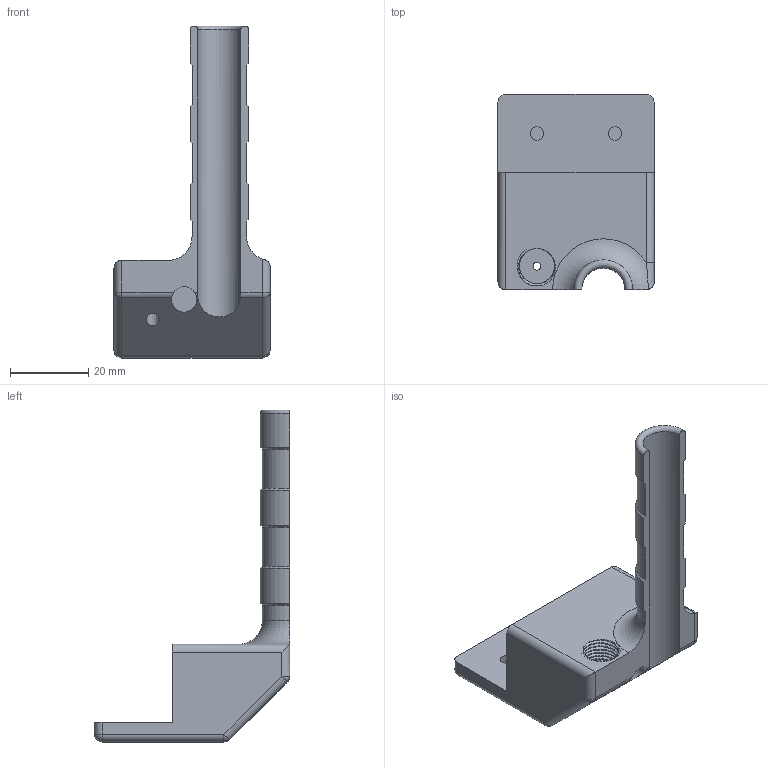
import cadquery as cq
import math

width = 40.0
length = 50.0
block_depth = 30.0
block_height = 25.0
ledge_thickness = 5.0
slope_leg = 16.0
edge_radius = 2.0

total_height = 85.0
tube_x = 7.0
tube_outer_radius = 7.5
bore_radius = 5.5
groove_depth = 0.5
groove_radius = tube_outer_radius - groove_depth
flare_radius = 6.0
collar_length = 10.0
collar_pitch = 20.0
collar_count = 3
collar_starts = [total_height - collar_length - i * collar_pitch for i in reversed(range(collar_count))]
rim_radius = (tube_outer_radius - bore_radius) / 2
wall_top = total_height - rim_radius

tolerance = 0.01

socket_x = -10.0
socket_y = 6.0
socket_depth = 8.0
thread_minor_radius = 9.04 / 2
thread_major_radius = 10.15 / 2
thread_pitch = 1.0
thread_root_flat = thread_pitch / 8
thread_half_angle = 30.0
thread_overlap = 0.1
thread_start_angle = 85.0
passage_diameter = 2.0
outlet_diameter = 3.6
outlet_z = 8.0

pocket_diameter = 6.5
pocket_x = -2.0
pocket_z = 15.0
pocket_depth = 10.0
ledge_hole_diameter = 3.5
ledge_hole_x = 10.0
ledge_hole_y = 40.0
ledge_hole_depth = 3.0


def vertical_cylinder(x, y, bottom, top, radius):
    return cq.Workplane("XY", origin=(x, y, bottom)).circle(radius).extrude(top - bottom)


def make_block(height):
    """Side outline of block, ledge and slope, extruded across the width."""
    outline = [
        (0, slope_leg),
        (slope_leg, 0),
        (length, 0),
        (length, ledge_thickness),
        (block_depth, ledge_thickness),
        (block_depth, height),
        (0, height),
    ]
    return cq.Workplane("YZ").polyline(outline).close().extrude(width / 2, both=True)


def make_half_tube():
    """Grooved outer tube wall with its flared foot, revolved half a turn behind Y = 0."""
    flare_top = block_height + flare_radius
    flare_foot = groove_radius + flare_radius
    arc_offset = flare_radius * math.sqrt(0.5)
    profile = (
        cq.Workplane("XZ", origin=(tube_x, 0, 0))
        .moveTo(0, block_height - edge_radius)
        .lineTo(flare_foot, block_height - edge_radius)
        .lineTo(flare_foot, block_height)
        .threePointArc((flare_foot - arc_offset, flare_top - arc_offset), (groove_radius, flare_top))
    )
    for start in collar_starts:
        profile = profile.lineTo(groove_radius, start)
        profile = profile.lineTo(tube_outer_radius, start + groove_depth)
        if start + collar_length < total_height:
            profile = profile.lineTo(tube_outer_radius, start + collar_length - groove_depth)
            profile = profile.lineTo(groove_radius, start + collar_length)
    profile = profile.lineTo(tube_outer_radius, wall_top).lineTo(0, wall_top).close()
    return profile.revolve(-180, (0, 0, 0), (0, 1, 0))


def is_upper_side_edge(edge):
    """Edges where the block top meets its two sides."""
    center = edge.Center()
    return abs(abs(center.x) - width / 2) < tolerance and abs(center.z - block_height) < tolerance


def is_envelope_edge(edge):
    """Rounded edges of the front corners, slope, underside and back."""
    center = edge.Center()
    box = edge.BoundingBox()
    if box.zmax < tolerance:
        return True
    if abs(center.y) < tolerance and abs(center.z - slope_leg) < tolerance:
        return True
    on_side = abs(abs(center.x) - width / 2) < tolerance and box.xlen < tolerance
    on_slope = abs(center.y + center.z - slope_leg) < tolerance
    on_front = box.ymax < tolerance and box.zmin > slope_leg - tolerance
    on_back = box.ymin > length - tolerance
    return on_side and (on_slope or on_front or on_back)


def fillet_selected(body, selects, radius):
    return body.newObject([edge for edge in body.edges().vals() if selects(edge)]).fillet(radius)


def make_rounded_body():
    """Block and tube with upper side edges rounded, trimmed by a tall block with the other edges rounded."""
    solid = make_block(block_height).union(make_half_tube())
    solid = fillet_selected(solid, is_upper_side_edge, edge_radius)
    envelope = fillet_selected(make_block(total_height), is_envelope_edge, edge_radius)
    return solid.intersect(envelope)


def make_thread_cutter():
    """Helical ridge that cuts the thread groove from the socket wall, running out above the block."""
    start_z = block_height - socket_depth + thread_pitch / 2
    height = socket_depth + thread_pitch / 2
    inner_radius = thread_minor_radius - thread_overlap
    flank_rise = (thread_major_radius - inner_radius) * math.tan(math.radians(thread_half_angle))
    half_root = thread_root_flat / 2
    half_mouth = half_root + flank_rise
    helix = cq.Wire.makeHelix(thread_pitch, height, thread_minor_radius)
    section = [
        (inner_radius, -half_mouth),
        (thread_major_radius, -half_root),
        (thread_major_radius, half_root),
        (inner_radius, half_mouth),
    ]
    cutter = cq.Workplane("XZ").polyline(section).close().sweep(cq.Workplane(helix), isFrenet=True)
    cutter = cutter.rotate((0, 0, 0), (0, 0, 1), thread_start_angle)
    return cutter.translate((socket_x, socket_y, start_z))


def cut_threaded_socket(body):
    """Threaded blind socket, and a passage under it that widens down to its outlet in the slope."""
    socket_floor = block_height - socket_depth
    socket_top = block_height + 2 * thread_pitch
    socket = vertical_cylinder(socket_x, socket_y, socket_floor, socket_top, thread_minor_radius)
    socket = socket.union(make_thread_cutter())
    passage_profile = [
        (0, outlet_z),
        (outlet_diameter / 2, outlet_z),
        (passage_diameter / 2, socket_floor),
        (0, socket_floor),
    ]
    plane = cq.Workplane("XZ", origin=(socket_x, socket_y, 0))
    passage = plane.polyline(passage_profile).close().revolve(360, (0, 0, 0), (0, 1, 0))
    return body.cut(socket).cut(passage)


def cut_pocket(body):
    """Flat-bottomed round pocket entering the slope parallel to Y."""
    front_plane = cq.Workplane("XZ", origin=(pocket_x, 0, pocket_z))
    pocket = front_plane.circle(pocket_diameter / 2).extrude(-pocket_depth)
    return body.cut(pocket)


def cut_ledge_holes(body):
    """Two blind holes in the top of the ledge."""
    for x in (-ledge_hole_x, ledge_hole_x):
        floor = ledge_thickness - ledge_hole_depth
        hole = vertical_cylinder(x, ledge_hole_y, floor, ledge_thickness, ledge_hole_diameter / 2)
        body = body.cut(hole)
    return body


def cut_bore(body):
    """Half-round bore through the whole height, open to the front."""
    return body.cut(vertical_cylinder(tube_x, 0, 0, total_height, bore_radius))


def add_rim(body):
    """Full-round upper end of the tube wall."""
    rim = (
        cq.Workplane("XZ", origin=(tube_x, 0, 0))
        .moveTo(bore_radius, wall_top)
        .threePointArc((bore_radius + rim_radius, total_height), (tube_outer_radius, wall_top))
        .close()
        .revolve(-180, (0, 0, 0), (0, 1, 0))
    )
    return body.union(rim)


body = make_rounded_body()
body = cut_bore(body)
body = add_rim(body)
body = cut_pocket(body)
body = cut_ledge_holes(body)
result = cut_threaded_socket(body)